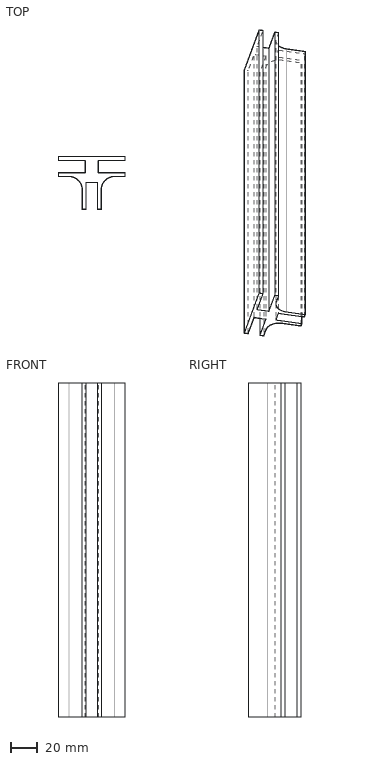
import cadquery as cq

length = 250.0
width = 50.0
depth = 39.5

wall = 3.0
flange_gap = 9.0
web_width = 10.0
leg_gap = 8.2
leg_slot_depth = 20.0
fillet_radius = 10.0

back = depth / 2
front = -depth / 2
front_flange_back = back - wall - flange_gap
front_flange_front = front_flange_back - wall
legs_width = leg_gap + 2 * wall


def block(size_x, y_low, y_high):
    """Full-length block centred on X, spanning the given Y range."""
    return cq.Workplane("XY").box(
        size_x, y_high - y_low, length
    ).translate((0, (y_low + y_high) / 2, 0))


back_flange = block(width, back - wall, back)
front_flange = block(width, front_flange_front, front_flange_back)
web = block(web_width, front_flange_back, back - wall)

stem = block(legs_width, front, front_flange_front)
body = back_flange.union(web).union(front_flange).union(stem)
stem_corners = cq.selectors.BoxSelector(
    (-width / 4, front_flange_front - wall / 2, -length),
    (width / 4, front_flange_front + wall / 2, length),
)
body = body.edges("|Z").edges(stem_corners).fillet(fillet_radius)

result = body.cut(block(leg_gap, front, front + leg_slot_depth))